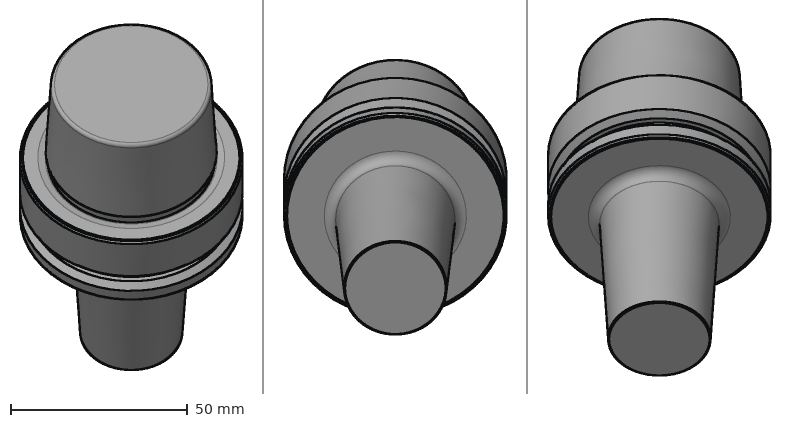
import cadquery as cq
import math

shank_length = 31.9
taper_ratio = 1 / 9.98
gauge_diameter = 48.01
gauge_height = 6.3
taper_start_height = 2.5
shank_top_round = 1.1
neck_radius = 23.75
neck_bevel_height = 0.7

flange_radius = 31.5
flange_thickness = 26.0
rim_chamfer = 0.6
rim_step = 0.3
face_relief_radius = 26.4
face_relief_depth = 0.5
face_relief_floor_radius = 24.3

groove_centre_depth = 18.0
groove_width = 3.75
groove_floor_radius = 27.5
groove_bevel_height = 1.35
groove_bevel_width = 2.4

nose_length = 76.0
nose_end_radius = 14.5
nose_half_angle = 2.9
nose_root_fillet = 3.2
nose_end_chamfer = 0.3


def taper_radius(height):
    """Radius of the shank taper at a height above the contact face."""
    return (gauge_diameter - (height - gauge_height) * taper_ratio) / 2


def revolve_profile(points):
    """Solid of revolution about Z from (radius, height) points."""
    return cq.Workplane("XZ").polyline(points).close().revolve(360, (0, 0, 0), (0, 1, 0))


def make_shank():
    """Tapered shank with its bevelled neck and rounded top rim."""
    taper_start_radius = taper_radius(taper_start_height)
    shank = revolve_profile([
        (0, -face_relief_depth),
        (neck_radius, -face_relief_depth),
        (neck_radius, taper_start_height - neck_bevel_height),
        (taper_start_radius, taper_start_height),
        (taper_radius(shank_length), shank_length),
        (0, shank_length),
    ])
    return shank.faces(">Z").edges().fillet(shank_top_round)


def make_flange_and_nose():
    """Grooved flange with stepped rims, and the conical nose below it."""
    step_radius = flange_radius - rim_chamfer
    face_radius = step_radius - rim_step
    groove_top = -groove_centre_depth + groove_width / 2
    groove_bottom = groove_top - groove_width
    groove_lip_radius = flange_radius - groove_bevel_width
    nose_rise = nose_length - flange_thickness
    nose_root_radius = nose_end_radius + nose_rise * math.tan(math.radians(nose_half_angle))
    body = revolve_profile([
        (0, -face_relief_depth),
        (face_relief_floor_radius, -face_relief_depth),
        (face_relief_radius, 0),
        (face_radius, 0),
        (face_radius, -rim_step),
        (step_radius, -rim_step),
        (flange_radius, -rim_step - rim_chamfer),
        (flange_radius, groove_top + groove_bevel_height),
        (groove_lip_radius, groove_top),
        (groove_floor_radius, groove_top),
        (groove_floor_radius, groove_bottom),
        (groove_lip_radius, groove_bottom),
        (flange_radius, groove_bottom - groove_bevel_height),
        (flange_radius, -flange_thickness + rim_step + rim_chamfer),
        (step_radius, -flange_thickness + rim_step),
        (face_radius, -flange_thickness + rim_step),
        (face_radius, -flange_thickness),
        (nose_root_radius, -flange_thickness),
        (nose_end_radius, -nose_length),
        (0, -nose_length),
    ])
    selection_margin = 0.1
    nose_root = cq.selectors.BoxSelector(
        (-flange_radius, -flange_radius, -flange_thickness - selection_margin),
        (flange_radius, flange_radius, -flange_thickness + selection_margin),
    )
    root_edge = body.edges(nose_root).edges(cq.selectors.RadiusNthSelector(0))
    body = root_edge.fillet(nose_root_fillet)
    return body.faces("<Z").edges().chamfer(nose_end_chamfer)


result = make_flange_and_nose().union(make_shank())